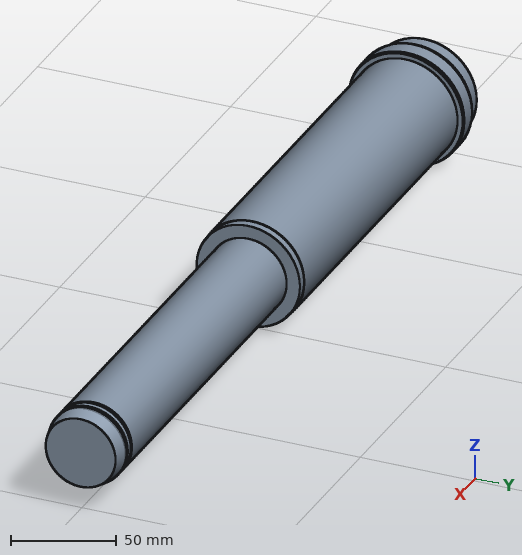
import cadquery as cq

total_length = 403.0

body_diameter = 54.0
body_length = 206.7
body_lead_length = 5.0
body_lead_depth = 0.2

collar_diameter = 60.0
collar_start = 11.3
collar_width = 11.3
collar_chamfer_length = 1.2
collar_chamfer_depth = 0.5

rod_diameter = 40.0
tip_diameter = 36.3
tip_taper_length = 7.3

groove_width = 1.2
groove_depth = 0.12
groove_centers = (388.5, 393.5)


def cylinder(diameter, start, length):
    """Solid cylinder on the X axis."""
    return cq.Workplane("YZ", origin=(start, 0, 0)).circle(diameter / 2).extrude(length)


def revolve_about_x(outline):
    """Solid of revolution from (x, radius) points that start and end on the axis."""
    return cq.Workplane("XY").polyline(outline).close().revolve(360, (0, 0, 0), (1, 0, 0))


def make_body():
    """Large cylinder with a slightly reduced land at the rod side."""
    lead_start = body_length - body_lead_length
    main = cylinder(body_diameter, 0, lead_start)
    return main.union(cylinder(body_diameter - 2 * body_lead_depth, lead_start, body_lead_length))


def make_collar():
    """Raised ring with a shallow chamfer at both rims."""
    collar_end = collar_start + collar_width
    crest_radius = collar_diameter / 2
    rim_radius = crest_radius - collar_chamfer_depth
    return revolve_about_x([
        (collar_start, 0),
        (collar_start, rim_radius),
        (collar_start + collar_chamfer_length, crest_radius),
        (collar_end - collar_chamfer_length, crest_radius),
        (collar_end, rim_radius),
        (collar_end, 0),
    ])


def make_rod():
    """Slim rod ending in a conical tip."""
    return revolve_about_x([
        (0, 0),
        (0, rod_diameter / 2),
        (total_length - tip_taper_length, rod_diameter / 2),
        (total_length, tip_diameter / 2),
        (total_length, 0),
    ])


def make_groove(center):
    """Ring that cuts a shallow groove around the rod."""
    start = center - groove_width / 2
    ring = cylinder(body_diameter, start, groove_width)
    return ring.cut(cylinder(rod_diameter - 2 * groove_depth, start, groove_width))


result = make_rod().union(make_body()).union(make_collar())
for groove_center in groove_centers:
    result = result.cut(make_groove(groove_center))